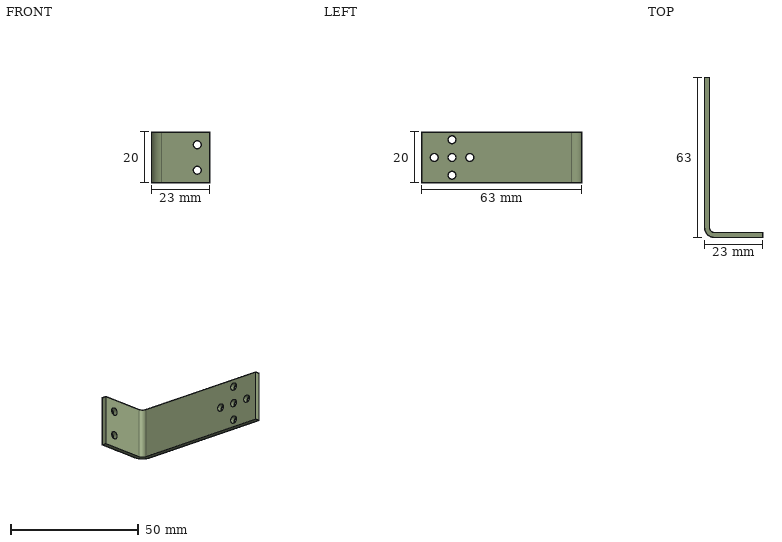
import cadquery as cq

long_leg = 63.0
short_leg = 23.0
width = 20.0
thickness = 2.0
bend_outer_radius = 4.0
bend_inner_radius = bend_outer_radius - thickness

hole_diameter = 3.0
cross_end_distance = 12.0
cross_arm = 7.0
pair_end_distance = 5.0
pair_spacing = 10.0


def bent_strip():
    """L profile in XY with its outer corner at the origin, extruded to the strip width."""
    profile = (
        cq.Workplane("XY")
        .moveTo(0, long_leg)
        .lineTo(0, bend_outer_radius)
        .radiusArc((bend_outer_radius, 0), -bend_outer_radius)
        .lineTo(short_leg, 0)
        .lineTo(short_leg, thickness)
        .lineTo(bend_outer_radius, thickness)
        .radiusArc((thickness, bend_outer_radius), bend_inner_radius)
        .lineTo(thickness, long_leg)
        .close()
    )
    return profile.extrude(width)


def long_leg_holes():
    """Five drills along X: one in the centre and four at the ends of a cross."""
    offsets = [(0, 0), (cross_arm, 0), (-cross_arm, 0), (0, cross_arm), (0, -cross_arm)]
    centre = (0, long_leg - cross_end_distance, width / 2)
    return (
        cq.Workplane("YZ", origin=centre)
        .pushPoints(offsets)
        .circle(hole_diameter / 2)
        .extrude(thickness)
    )


def short_leg_holes():
    """Two drills along Y, spaced evenly about mid-width."""
    centre = (short_leg - pair_end_distance, 0, width / 2)
    return (
        cq.Workplane("XZ", origin=centre)
        .pushPoints([(0, -pair_spacing / 2), (0, pair_spacing / 2)])
        .circle(hole_diameter / 2)
        .extrude(-thickness)
    )


result = bent_strip().cut(long_leg_holes()).cut(short_leg_holes())